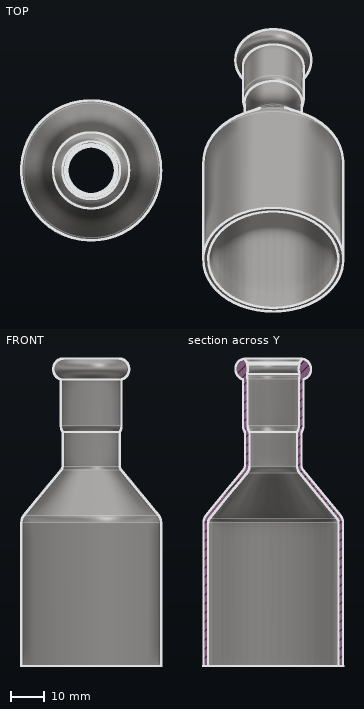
import cadquery as cq
import math

wall = 1.5
total_height = 92.2
body_radius = 42.0 / 2
neck_radius = 17.2 / 2
socket_radius = 18.3 / 2

body_top = 43.0
neck_bottom = 59.9
neck_top = 70.2
socket_bottom = 72.15

shoulder_half_angle = math.radians(39.5)
body_bend_radius = 3.5

mouth_radius = 17.3 / 2
bead_outer_radius = 22.84 / 2
bead_section_radius = 3.24
bead_center_radius = bead_outer_radius - bead_section_radius
bead_center_z = total_height - math.sqrt(bead_section_radius**2 - (mouth_radius - bead_center_radius) ** 2)

lip_radius = 15.7 / 2
lip_chamfer_depth = 1.2
lip_depth = 1.75
seal_half_height = total_height - lip_depth - bead_center_z
seal_bulge = 0.3
seat_depth = 5.3
seat_taper_depth = 0.85


def add_shoulder(profile, large_radius, small_radius, large_bend):
    """Continue an upward profile through the bend, cone and bend that join body and neck."""
    sine = math.sin(shoulder_half_angle)
    cosine = math.cos(shoulder_half_angle)
    half_sine = math.sin(shoulder_half_angle / 2)
    half_cosine = math.cos(shoulder_half_angle / 2)
    rise = neck_bottom - body_top
    bend_sum = (rise * sine - (large_radius - small_radius) * cosine) / (1 - cosine)
    small_bend = bend_sum - large_bend
    large_center = large_radius - large_bend
    small_center = small_radius + small_bend
    return (
        profile.lineTo(large_radius, body_top)
        .threePointArc(
            (large_center + large_bend * half_cosine, body_top + large_bend * half_sine),
            (large_center + large_bend * cosine, body_top + large_bend * sine),
        )
        .lineTo(small_center - small_bend * cosine, neck_bottom - small_bend * sine)
        .threePointArc(
            (small_center - small_bend * half_cosine, neck_bottom - small_bend * half_sine),
            (small_radius, neck_bottom),
        )
    )


def add_socket_step(profile, small_radius, large_radius):
    """Widen an upward profile from neck to socket with an arc that blends into the socket wall."""
    rise = socket_bottom - neck_top
    inset = large_radius - small_radius
    bend = (rise**2 + inset**2) / (2 * inset)
    half_angle = math.asin(rise / bend) / 2
    middle = (
        large_radius - bend * (1 - math.cos(half_angle)),
        socket_bottom - bend * math.sin(half_angle),
    )
    return profile.lineTo(small_radius, neck_top).threePointArc(middle, (large_radius, socket_bottom))


def make_outside():
    """Solid of revolution bounded by the outer skin."""
    bead_foot = math.sqrt(bead_section_radius**2 - (socket_radius - bead_center_radius) ** 2)
    profile = cq.Workplane("XZ").lineTo(body_radius, 0)
    profile = add_shoulder(profile, body_radius, neck_radius, body_bend_radius)
    profile = add_socket_step(profile, neck_radius, socket_radius)
    profile = (
        profile.lineTo(socket_radius, bead_center_z - bead_foot)
        .threePointArc((bead_outer_radius, bead_center_z), (mouth_radius, total_height))
        .lineTo(0, total_height)
        .close()
    )
    return profile.revolve(360, (0, 0, 0), (0, 1, 0))


def make_bore():
    """Solid of revolution that fills the passage, narrowed at the mouth by the bulging seal ring."""
    socket_bore = socket_radius - wall
    seat_z = total_height - seat_depth
    profile = cq.Workplane("XZ").lineTo(body_radius - wall, 0)
    profile = add_shoulder(profile, body_radius - wall, neck_radius - wall, body_bend_radius - wall)
    profile = add_socket_step(profile, neck_radius - wall, socket_bore)
    profile = (
        profile.lineTo(socket_bore, seat_z - seat_taper_depth)
        .lineTo(lip_radius, seat_z)
        .lineTo(lip_radius, bead_center_z - seal_half_height)
        .threePointArc(
            (lip_radius - seal_bulge, bead_center_z),
            (lip_radius, bead_center_z + seal_half_height),
        )
        .lineTo(lip_radius, total_height - lip_chamfer_depth)
        .lineTo(mouth_radius, total_height)
        .lineTo(0, total_height)
        .close()
    )
    return profile.revolve(360, (0, 0, 0), (0, 1, 0))


result = make_outside().cut(make_bore())